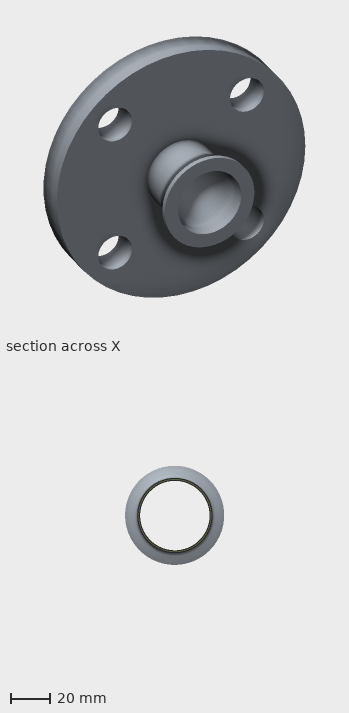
import cadquery as cq
import math

flange_diameter = 140.0
flange_thickness = 16.0
bolt_circle_diameter = 105.0
bolt_hole_diameter = 19.0
bolt_count = 4
first_bolt_angle = 45.0

overall_length = 50.0
tube_diameter = 38.1
bore_diameter = 35.7
ferrule_diameter = 50.5
rim_thickness = 2.8
taper_angle = 20.0
neck_fillet_radius = 2.4

flange_radius = flange_diameter / 2
tube_radius = tube_diameter / 2
ferrule_radius = ferrule_diameter / 2
slope = math.radians(taper_angle)

rim_back_x = overall_length - rim_thickness
taper_root_x = rim_back_x - (ferrule_radius - tube_radius) * math.tan(slope)
fillet_turn = math.pi / 2 - slope
fillet_start_x = taper_root_x - neck_fillet_radius * math.tan(fillet_turn / 2)


def fillet_point(turn):
    """Point on the neck fillet after turning by the given angle from the tube."""
    x = fillet_start_x + neck_fillet_radius * math.sin(turn)
    radius = tube_radius + neck_fillet_radius * (1 - math.cos(turn))
    return (x, radius)


def revolved_body():
    """Flange, tube and ferrule turned as one solid about the X axis."""
    profile = (
        cq.Workplane("XY")
        .moveTo(0, 0)
        .lineTo(0, flange_radius)
        .lineTo(flange_thickness, flange_radius)
        .lineTo(flange_thickness, tube_radius)
        .lineTo(fillet_start_x, tube_radius)
        .threePointArc(fillet_point(fillet_turn / 2), fillet_point(fillet_turn))
        .lineTo(rim_back_x, ferrule_radius)
        .lineTo(overall_length, ferrule_radius)
        .lineTo(overall_length, 0)
        .close()
    )
    return profile.revolve(360, (0, 0, 0), (1, 0, 0))


def bore():
    """Straight passage through the whole part."""
    return cq.Workplane("YZ").circle(bore_diameter / 2).extrude(overall_length)


def bolt_holes():
    """Through holes evenly spaced on the bolt circle."""
    return (
        cq.Workplane("YZ")
        .polarArray(bolt_circle_diameter / 2, first_bolt_angle, 360, bolt_count)
        .circle(bolt_hole_diameter / 2)
        .extrude(flange_thickness)
    )


result = revolved_body().cut(bore()).cut(bolt_holes())